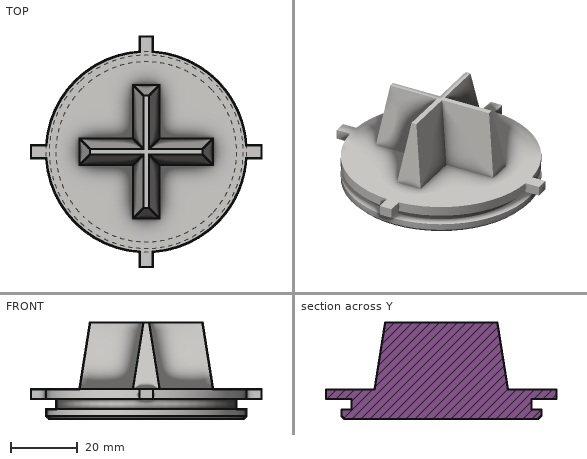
import cadquery as cq

total_height = 29.0
handle_height = 20.0
layer_height = (total_height - handle_height) / 3
disc_diameter = 60.0
groove_diameter = 54.0
rim_chamfer = 1.05

tab_span = 69.0
tab_width = 4.0

handle_length = 40.0
handle_width = 8.0
handle_draft = 9.0


def disc(diameter, bottom):
    """One layer of the base, centred on the Z axis."""
    return cq.Workplane("XY").workplane(offset=bottom).circle(diameter / 2).extrude(layer_height)


def cross(length, width, bottom, height, draft=0):
    """Two equal bars crossing at right angles, narrowing upward by the draft angle."""
    plane = cq.Workplane("XY").workplane(offset=bottom)
    bar_along_x = plane.rect(length, width).extrude(height, taper=draft)
    bar_along_y = plane.rect(width, length).extrude(height, taper=draft)
    return bar_along_x.union(bar_along_y)


flange_bottom = 2 * layer_height
flange_top = 3 * layer_height

rim = disc(disc_diameter, 0).faces("<Z").edges().chamfer(rim_chamfer)
groove_core = disc(groove_diameter, layer_height)
flange = disc(disc_diameter, flange_bottom)
tabs = cross(tab_span, tab_width, flange_bottom, layer_height)
handle = cross(handle_length, handle_width, flange_top, handle_height, handle_draft)

result = rim.union(groove_core).union(flange).union(tabs).union(handle)